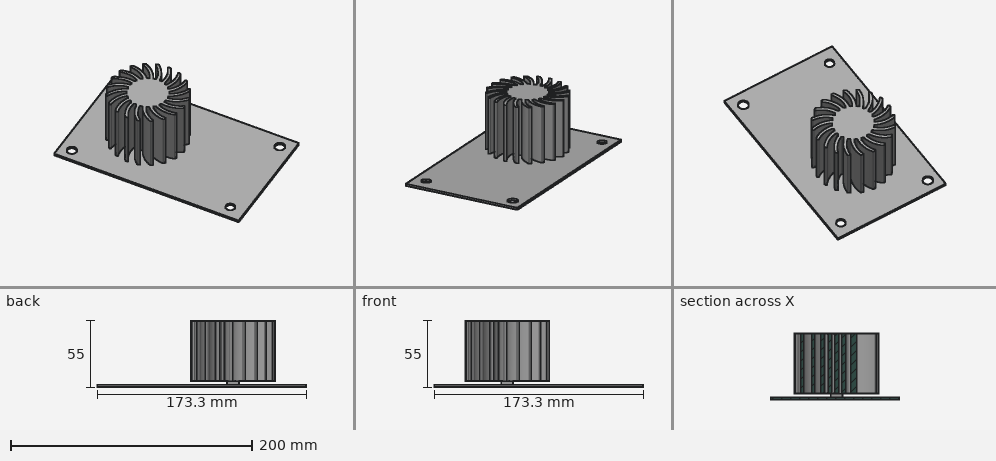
import cadquery as cq
import math


PLATE_LENGTH = 173.3
PLATE_WIDTH = 106.55
PLATE_THICKNESS = 2.0
PLATE_LEFT = -60.6
PLATE_FRONT = -52.0

MOUNTING_HOLES = [
    (-49.5, -41.5, 8.74),
    (98.8, -40.5, 8.12),
    (-48.0, 43.5, 7.99),
    (100.7, 43.4, 9.1),
]

POST_SIDE = 10.0
POST_HEIGHT = 3.0

TOTAL_HEIGHT = 55.0
HUB_RADIUS = 17.5
FIN_TIP_RADIUS = 35.0
FIN_COUNT = 20
FIN_EDGE_FILLET = 0.75
FIN_PITCH = math.radians(360 / FIN_COUNT)

CONVEX_FLANK = (24.84, 27.31, math.radians(57.98))
CONCAVE_FLANK = (21.2, 27.57, math.radians(55.8))

SINK_BOTTOM = PLATE_THICKNESS + POST_HEIGHT
SINK_HEIGHT = TOTAL_HEIGHT - SINK_BOTTOM
FIN_MIDDLE_RADIUS = (HUB_RADIUS + FIN_TIP_RADIUS) / 2


def polar_point(radius, angle):
    return (radius * math.cos(angle), radius * math.sin(angle))


def flank_angle(flank, radius):
    """Bearing of the point where a flank arc crosses a circle about the axis."""
    arc_radius, centre_distance, centre_angle = flank
    cosine = (radius**2 + centre_distance**2 - arc_radius**2) / (2 * radius * centre_distance)
    return centre_angle - math.acos(cosine)


def flank_point(flank, radius, turn):
    return polar_point(radius, flank_angle(flank, radius) + turn)


def arc_middle(radius, start_angle, end_angle):
    return polar_point(radius, (start_angle + end_angle) / 2)


def make_plate():
    plate = cq.Workplane("XY").box(PLATE_LENGTH, PLATE_WIDTH, PLATE_THICKNESS, centered=False)
    plate = plate.translate((PLATE_LEFT, PLATE_FRONT, 0))
    for x, y, diameter in MOUNTING_HOLES:
        hole = cq.Workplane("XY").center(x, y).circle(diameter / 2).extrude(PLATE_THICKNESS)
        plate = plate.cut(hole)
    return plate


def make_post():
    return cq.Workplane("XY").workplane(offset=PLATE_THICKNESS).rect(POST_SIDE, POST_SIDE).extrude(POST_HEIGHT)


def make_heat_sink():
    convex_root = flank_angle(CONVEX_FLANK, HUB_RADIUS)
    convex_tip = flank_angle(CONVEX_FLANK, FIN_TIP_RADIUS)
    concave_tip = flank_angle(CONCAVE_FLANK, FIN_TIP_RADIUS)
    concave_root = flank_angle(CONCAVE_FLANK, HUB_RADIUS)
    next_root = convex_root + FIN_PITCH

    outline = cq.Workplane("XY").workplane(offset=SINK_BOTTOM)
    outline = outline.moveTo(*polar_point(HUB_RADIUS, convex_root))
    for fin in range(FIN_COUNT):
        turn = fin * FIN_PITCH
        outline = outline.threePointArc(
            flank_point(CONVEX_FLANK, FIN_MIDDLE_RADIUS, turn),
            polar_point(FIN_TIP_RADIUS, convex_tip + turn),
        )
        outline = outline.threePointArc(
            arc_middle(FIN_TIP_RADIUS, convex_tip + turn, concave_tip + turn),
            polar_point(FIN_TIP_RADIUS, concave_tip + turn),
        )
        outline = outline.threePointArc(
            flank_point(CONCAVE_FLANK, FIN_MIDDLE_RADIUS, turn),
            polar_point(HUB_RADIUS, concave_root + turn),
        )
        outline = outline.threePointArc(
            arc_middle(HUB_RADIUS, concave_root + turn, next_root + turn),
            polar_point(HUB_RADIUS, next_root + turn),
        )
    heat_sink = outline.close().extrude(SINK_HEIGHT)
    return heat_sink.edges("|Z").fillet(FIN_EDGE_FILLET)


plate = make_plate()
post = make_post()
heat_sink = make_heat_sink()

result = cq.Compound.makeCompound([plate.val(), post.val(), heat_sink.val()])